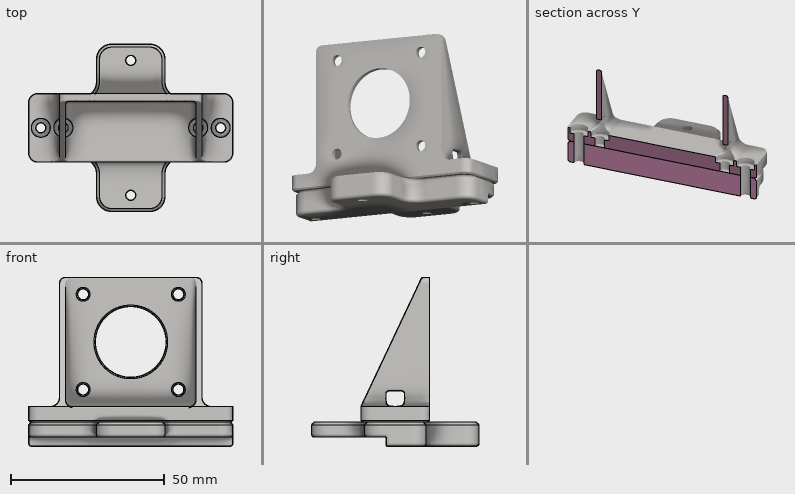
import cadquery as cq
import math

LENGTH = 66.5
PLATE_DEPTH = 54.5
X_ARM_WIDTH = 19.95
Y_ARM_WIDTH = 22.35
PLATE_HEIGHT = 8.0
ARM_RADIUS = 5.0
TOP_CHAMFER = 1.0
BOTTOM_FILLET = 1.0
RELIEF_HEIGHT = 3.0
RELIEF_WALL_Y = -3.0
RELIEF_FILLET = 0.3
RELIEF_EDGE_FILLET = 0.5
ARM_HOLE_Y = 21.95

BRACKET_DEPTH = 22.35
BRACKET_TOP = 55.0
FOOT_THICKNESS = 5.0
FOOT_RADIUS = 3.0
EDGE_BREAK = 0.5
POCKET_WIDTH = 42.4
WALL_THICKNESS = 2.0
UPRIGHT_THICKNESS = 2.5
TOP_RADIUS = 2.0
FLARE_RADIUS = 3.0
WALL_FLOOR_RADIUS = 2.0
POCKET_RADIUS = 1.0

MOTOR_BORE = 23.0
MOTOR_HOLE = 3.5
MOTOR_HOLE_PITCH = 31.0

SCREW_HOLE = 3.2
SCREW_HEAD = 6.2
HEAD_DEPTH = 2.0
OUTER_SCREW_X = 29.25
WALL_SCREW_X = 21.95
HEAD_ROOM_TOP = 18.0
HEAD_ROOM_RADIUS = 1.0

FOOT_TOP = PLATE_HEIGHT + FOOT_THICKNESS
HEAD_FLOOR = FOOT_TOP - HEAD_DEPTH
FRONT = -BRACKET_DEPTH / 2
BACK = BRACKET_DEPTH / 2
UPRIGHT_Y = BACK - UPRIGHT_THICKNESS
INNER_X = POCKET_WIDTH / 2
OUTER_X = INNER_X + WALL_THICKNESS
MOTOR_Z = (FOOT_TOP + BRACKET_TOP) / 2
SLOPE_RATE = (BRACKET_TOP - FOOT_TOP) / (UPRIGHT_Y - FRONT)

OUTER_SCREWS = [(-OUTER_SCREW_X, 0), (OUTER_SCREW_X, 0)]
WALL_SCREWS = [(-WALL_SCREW_X, 0), (WALL_SCREW_X, 0)]
ARM_SCREWS = [(0, -ARM_HOLE_Y), (0, ARM_HOLE_Y)]

TOLERANCE = 0.0005


def base_box(width, depth, height, bottom):
    """Box centred on the Z axis and standing on the given height."""
    plane = cq.Workplane("XY", origin=(0, 0, bottom))
    return plane.box(width, depth, height, centered=(True, True, False))


def vertical_cylinders(points, diameter, bottom, top):
    plane = cq.Workplane("XY", origin=(0, 0, bottom))
    return plane.pushPoints(points).circle(diameter / 2).extrude(top - bottom)


def spans_length(edge):
    return edge.BoundingBox().xlen > LENGTH - TOLERANCE


class UndersideOutline(cq.Selector):
    """Lower outline of the plate, following the step at both ends of the relief."""

    def filter(self, edges):
        low = [edge for edge in edges if edge.BoundingBox().zmax < RELIEF_HEIGHT + TOLERANCE]
        return [edge for edge in low if not spans_length(edge)]


class ReliefLowerEdge(cq.Selector):
    """Long edge where the relief wall meets the underside."""

    def filter(self, edges):
        low = [edge for edge in edges if edge.BoundingBox().zmax < TOLERANCE]
        return [edge for edge in low if abs(edge.Center().y - RELIEF_WALL_Y) < TOLERANCE]


def on_slope(point):
    return abs(point.z - FOOT_TOP - (point.y - FRONT) * SLOPE_RATE) < TOLERANCE


class SlopeRim(cq.Selector):
    """Edges around the sloped faces of the side walls, and the front edge of the floor."""

    def filter(self, edges):
        kept = []
        for edge in edges:
            middle = edge.Center()
            above_foot = middle.z > FOOT_TOP + TOLERANCE
            floor_edge = abs(middle.x) < TOLERANCE
            ends_on_slope = on_slope(edge.startPoint()) and on_slope(edge.endPoint())
            if ends_on_slope and (above_foot or floor_edge):
                kept.append(edge)
        return kept


class HeadRoomRim(cq.Selector):
    """Edges where the head room breaks out of the wall faces and the floor."""

    def filter(self, edges):
        kept = []
        for edge in edges:
            box = edge.BoundingBox()
            points = [edge.startPoint(), edge.endPoint()]
            reach = max(math.hypot(abs(p.x) - WALL_SCREW_X, p.y) for p in points)
            inside = reach < SCREW_HEAD / 2 + TOLERANCE
            above_floor = box.zmin > FOOT_TOP - TOLERANCE
            inner_arc = edge.geomType() == "CIRCLE" and box.zmin > FOOT_TOP + TOLERANCE
            if inside and above_floor and not inner_arc:
                kept.append(edge)
        return kept


def make_relief():
    """Space under the front part of the plate."""
    relief = base_box(LENGTH, PLATE_DEPTH, RELIEF_HEIGHT, 0)
    relief = relief.translate((0, RELIEF_WALL_Y - PLATE_DEPTH / 2, 0))
    return relief.faces(">Y").edges(">Z").fillet(RELIEF_FILLET)


def make_plate():
    x_arm = base_box(LENGTH, X_ARM_WIDTH, PLATE_HEIGHT, 0)
    y_arm = base_box(Y_ARM_WIDTH, PLATE_DEPTH, PLATE_HEIGHT, 0)
    cross = x_arm.union(y_arm).edges("|Z").fillet(ARM_RADIUS)
    cross = cross.faces(">Z").edges().chamfer(TOP_CHAMFER)

    plate = cross.cut(make_relief())
    plate = plate.edges(UndersideOutline()).fillet(BOTTOM_FILLET)
    plate = plate.edges(ReliefLowerEdge()).fillet(RELIEF_EDGE_FILLET)
    return plate.cut(vertical_cylinders(OUTER_SCREWS + ARM_SCREWS, SCREW_HOLE, 0, PLATE_HEIGHT))


def make_foot():
    foot = base_box(LENGTH, BRACKET_DEPTH, FOOT_THICKNESS, PLATE_HEIGHT)
    foot = foot.edges("|Z").fillet(FOOT_RADIUS)
    return foot.faces("<Z").edges().chamfer(EDGE_BREAK)


def make_upper_block():
    """Full-depth block with rounded top corners, flaring out onto the foot."""
    return (
        cq.Workplane("XZ", origin=(0, BACK, 0))
        .moveTo(-OUTER_X - FLARE_RADIUS, FOOT_TOP)
        .radiusArc((-OUTER_X, FOOT_TOP + FLARE_RADIUS), -FLARE_RADIUS)
        .lineTo(-OUTER_X, BRACKET_TOP - TOP_RADIUS)
        .radiusArc((-OUTER_X + TOP_RADIUS, BRACKET_TOP), TOP_RADIUS)
        .lineTo(OUTER_X - TOP_RADIUS, BRACKET_TOP)
        .radiusArc((OUTER_X, BRACKET_TOP - TOP_RADIUS), TOP_RADIUS)
        .lineTo(OUTER_X, FOOT_TOP + FLARE_RADIUS)
        .radiusArc((OUTER_X + FLARE_RADIUS, FOOT_TOP), -FLARE_RADIUS)
        .close()
        .extrude(BRACKET_DEPTH)
    )


def make_slope_cut():
    """Wedge in front of the side walls, from the foot's front edge to the upright's top."""
    return (
        cq.Workplane("YZ", origin=(-LENGTH / 2, 0, 0))
        .moveTo(FRONT, FOOT_TOP)
        .lineTo(FRONT, BRACKET_TOP)
        .lineTo(UPRIGHT_Y, BRACKET_TOP)
        .close()
        .extrude(LENGTH)
    )


def make_pocket():
    """Motor space between the side walls, open to the front and the top."""
    pocket = base_box(POCKET_WIDTH, 2 * BRACKET_DEPTH, BRACKET_TOP, FOOT_TOP)
    pocket = pocket.translate((0, UPRIGHT_Y - BRACKET_DEPTH, 0))
    pocket = pocket.faces("<Z").edges("|Y").fillet(WALL_FLOOR_RADIUS)
    return pocket.faces(">Y").edges().fillet(POCKET_RADIUS)


def make_motor_hole(x, z, diameter):
    """Hole through the upright, widened by a chamfer on the motor side."""
    radius = diameter / 2
    hole = cq.Workplane("XZ", origin=(x, BACK, z)).circle(radius).extrude(UPRIGHT_THICKNESS)
    rim_centre = cq.Vector(x, UPRIGHT_Y, z)
    rim = cq.Solid.makeCone(radius + EDGE_BREAK, radius, EDGE_BREAK, rim_centre, cq.Vector(0, 1, 0))
    return hole.union(cq.Workplane(rim))


def cut_motor_holes(bracket):
    bracket = bracket.cut(make_motor_hole(0, MOTOR_Z, MOTOR_BORE))
    offset = MOTOR_HOLE_PITCH / 2
    for x in (-offset, offset):
        for z in (MOTOR_Z - offset, MOTOR_Z + offset):
            bracket = bracket.cut(make_motor_hole(x, z, MOTOR_HOLE))
    return bracket


def cut_screw_holes(bracket):
    """Counterbored holes in the foot; the inner pair has head room through the side walls."""
    head_room = vertical_cylinders(WALL_SCREWS, SCREW_HEAD, HEAD_FLOOR, HEAD_ROOM_TOP)
    head_room = head_room.faces(">Z").edges().fillet(HEAD_ROOM_RADIUS)
    bracket = bracket.cut(head_room)
    bracket = bracket.edges(HeadRoomRim()).fillet(EDGE_BREAK)

    bracket = bracket.cut(vertical_cylinders(OUTER_SCREWS, SCREW_HEAD, HEAD_FLOOR, FOOT_TOP))
    return bracket.cut(
        vertical_cylinders(WALL_SCREWS + OUTER_SCREWS, SCREW_HOLE, PLATE_HEIGHT, HEAD_FLOOR)
    )


def make_bracket():
    walls = make_upper_block().cut(make_slope_cut()).cut(make_pocket())
    bracket = make_foot().union(walls)
    bracket = bracket.edges(SlopeRim()).fillet(EDGE_BREAK)
    bracket = cut_motor_holes(bracket)
    return cut_screw_holes(bracket)


plate = make_plate()
bracket = make_bracket()

result = cq.Compound.makeCompound([plate.solids().val(), bracket.solids().val()])